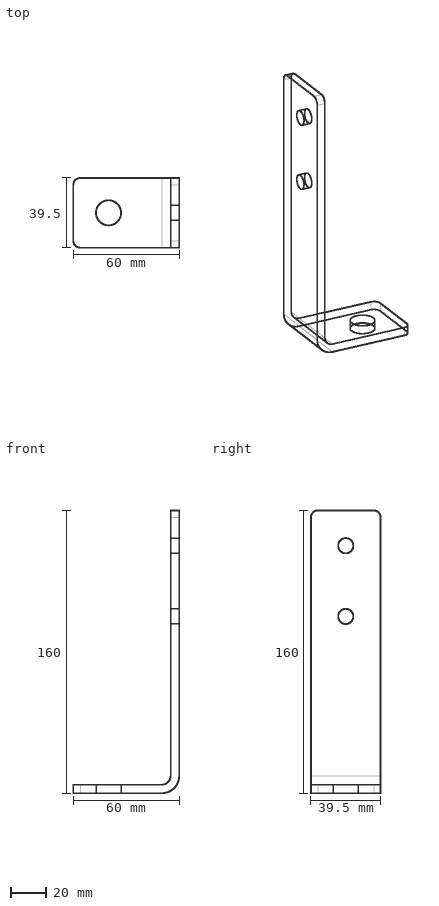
import cadquery as cq

foot_length = 60.0
width = 39.5
height = 160.0

thickness = 5.0
inner_bend_radius = 5.0
outer_bend_radius = inner_bend_radius + thickness
corner_radius = 4.0

foot_hole_diameter = 14.0
foot_hole_from_end = 20.0
wall_hole_diameter = 8.5
wall_hole_from_top = 20.0
wall_hole_spacing = 40.0
wall_hole_count = 2


def make_bent_sheet():
    """L-shaped sheet: foot along X, wall rising at the +X end."""
    sheet = (
        cq.Workplane("XZ")
        .moveTo(0, 0)
        .lineTo(foot_length, 0)
        .lineTo(foot_length, height)
        .lineTo(foot_length - thickness, height)
        .lineTo(foot_length - thickness, thickness)
        .lineTo(0, thickness)
        .close()
        .extrude(width / 2, both=True)
    )
    inner_corner = cq.selectors.NearestToPointSelector((foot_length - thickness, 0, thickness))
    outer_corner = cq.selectors.NearestToPointSelector((foot_length, 0, 0))
    sheet = sheet.edges("|Y").edges(inner_corner).fillet(inner_bend_radius)
    return sheet.edges("|Y").edges(outer_corner).fillet(outer_bend_radius)


def round_free_corners(sheet):
    """Round the two corners at the free end of each leg."""
    sheet = sheet.faces("<X").edges("|Z").fillet(corner_radius)
    return sheet.faces(">Z").edges("|X").fillet(corner_radius)


def make_foot_hole():
    return (
        cq.Workplane("XY")
        .center(foot_hole_from_end, 0)
        .circle(foot_hole_diameter / 2)
        .extrude(thickness)
    )


def make_wall_holes():
    centers = [
        (0, height - wall_hole_from_top - index * wall_hole_spacing)
        for index in range(wall_hole_count)
    ]
    return (
        cq.Workplane("YZ", origin=(foot_length - thickness, 0, 0))
        .pushPoints(centers)
        .circle(wall_hole_diameter / 2)
        .extrude(thickness)
    )


bracket = round_free_corners(make_bent_sheet())
result = bracket.cut(make_foot_hole()).cut(make_wall_holes())